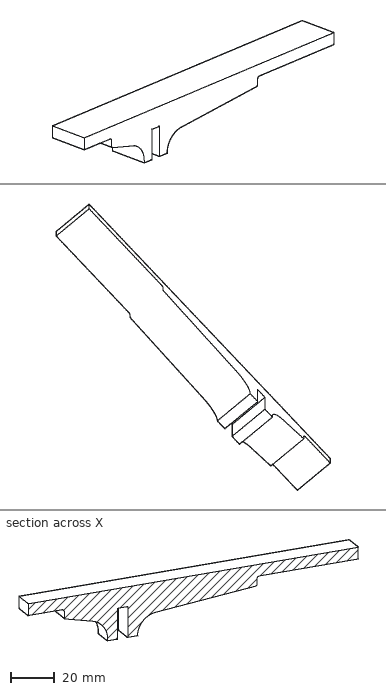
import cadquery as cq
import math

LENGTH = 165.4
WIDTH = 20.0
HEIGHT = 25.0

PLATE_THICKNESS = 6.0

NEAR_STEP = 18.0
FAR_STEP = 114.8
STEP_DEPTH = 10.5
NEAR_SLOPE = math.radians(14)
FAR_SLOPE = math.radians(5)
STEP_RADIUS = 1.0

SLOT_START = 44.8
SLOT_WIDTH = 5.0
SLOT_TOP = 10.0
LEG_THICKNESS = 5.1
LEG_RADIUS = 10.0

near_end = -LENGTH / 2
far_end = LENGTH / 2
near_step = near_end + NEAR_STEP
far_step = near_end + FAR_STEP
slot_near = near_end + SLOT_START
slot_far = slot_near + SLOT_WIDTH
near_leg = slot_near - LEG_THICKNESS
far_leg = slot_far + LEG_THICKNESS

near_root_depth = STEP_DEPTH + (near_leg - near_step) * math.tan(NEAR_SLOPE)
far_root_depth = STEP_DEPTH + (far_step - far_leg) * math.tan(FAR_SLOPE)


def side_profile():
    """Y-Z outline of the bar with sharp corners."""
    return cq.Workplane("YZ").polyline([
        (near_end, 0),
        (near_end, -PLATE_THICKNESS),
        (near_step, -PLATE_THICKNESS),
        (near_step, -STEP_DEPTH),
        (near_leg, -near_root_depth),
        (near_leg, -HEIGHT),
        (slot_near, -HEIGHT),
        (slot_near, -SLOT_TOP),
        (slot_far, -SLOT_TOP),
        (slot_far, -HEIGHT),
        (far_leg, -HEIGHT),
        (far_leg, -far_root_depth),
        (far_step, -STEP_DEPTH),
        (far_step, -PLATE_THICKNESS),
        (far_end, -PLATE_THICKNESS),
        (far_end, 0),
    ]).close()


def round_edge(body, y, depth, radius):
    """Round the edge parallel to X at the given Y and depth."""
    edge = cq.selectors.NearestToPointSelector((0, y, -depth))
    return body.edges("|X").edges(edge).fillet(radius)


result = side_profile().extrude(WIDTH / 2, both=True)

for step in (near_step, far_step):
    for depth in (PLATE_THICKNESS, STEP_DEPTH):
        result = round_edge(result, step, depth, STEP_RADIUS)

result = round_edge(result, near_leg, near_root_depth, LEG_RADIUS)
result = round_edge(result, far_leg, far_root_depth, LEG_RADIUS)